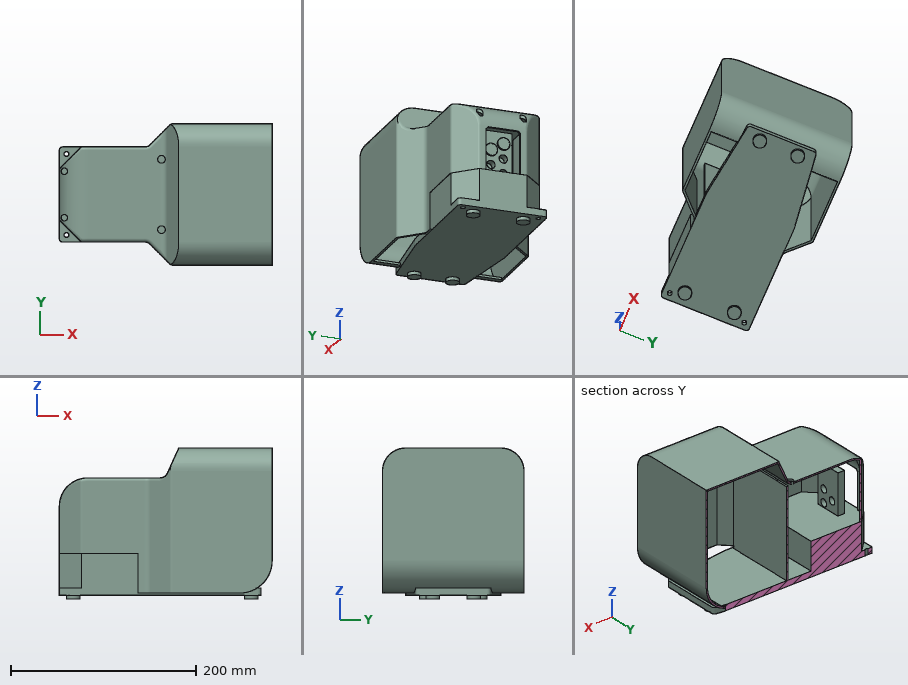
import cadquery as cq
import math


LENGTH = 230.0
REAR_WIDTH = 153.0
FRONT_WIDTH = 103.0
TOP_Z = 159.2
ROOF_Z = 127.0
WALL = 2.5

PLATE_LENGTH = 218.0
PLATE_THICKNESS = 8.0
PLATE_CORNER_R = 4.0
TAPER_START_X = 128.8
PLATE_TAIL_WIDTH = 80.0
BOX_LENGTH = 84.9
BOX_TOP_Z = 45.0
CORNER_CUT = 24.0
FIXING_HOLE_D = 5.0
FIXING_HOLE_INSET = 7.8
FOOT_D = 15.0
FOOT_HEIGHT = 4.0
FRONT_FOOT_X = 15.2
FRONT_FOOT_SPACING = 58.0
REAR_FOOT_X = 207.2
REAR_FOOT_SPACING = 44.5

BLOCK_X = 18.5
BLOCK_THICKNESS = 9.2
BLOCK_WIDTH = 34.5
BLOCK_TOP_Z = 98.5
PORT_Y = 7.1
TOP_PORT_Z = 84.9
PORT_PITCH_Z = 8.5
BOSS_D = 14.0
BOSS_HEIGHT = 2.0
SOCKET_D = 9.5
BOSS_COUNT = 2
SOCKET_COUNT = 3

BULKHEAD_X = 116.2
BULKHEAD_THICKNESS = 2.5

COVER_BOTTOM_Z = 2.5
FLARE_START_X = 96.0
NOSE_R = 31.0
STEP_TOP_X = 129.0
STEP_ANGLE = 65.5
STEP_R = 8.0
SHOULDER_R = 25.0
TAIL_R = 35.0
FLARE_START_R = 8.0
COVER_EDGE_R = 4.0
NOSE_HOLE_D = 7.0
NOSE_HOLE_X = 5.5
NOSE_HOLE_Y = 25.0
STEP_HOLE_D = 8.3
STEP_HOLE_X = 110.5
STEP_HOLE_Y = 38.0
WINDOW_WIDTH = 39.5
WINDOW_TOP_Z = 95.0
WINDOW_CORNER = 2.5

FRONT_HALF = FRONT_WIDTH / 2
REAR_HALF = REAR_WIDTH / 2
FLARE_END_X = FLARE_START_X + REAR_HALF - FRONT_HALF
STEP_FOOT_X = STEP_TOP_X - (TOP_Z - ROOF_Z) / math.tan(math.radians(STEP_ANGLE))


def box_between(x0, x1, y0, y1, z0, z1):
    return cq.Workplane("XY").box(x1 - x0, y1 - y0, z1 - z0, centered=False).translate((x0, y0, z0))


def cover_plan():
    """Half outlines of the cover seen from above, mirrored into a closed wire."""
    half = [
        (0, FRONT_HALF - CORNER_CUT),
        (CORNER_CUT, FRONT_HALF),
        (FLARE_START_X, FRONT_HALF),
        (FLARE_END_X, REAR_HALF),
        (LENGTH, REAR_HALF),
    ]
    return half + [(x, -y) for x, y in reversed(half)]


def plan_prism(inset):
    """Full-height block with the plan outline of the cover, moved inward by inset."""
    plan = cq.Workplane("XY", origin=(0, 0, COVER_BOTTOM_Z)).polyline(cover_plan()).close()
    if inset:
        plan = plan.offset2D(-inset, "intersection")
    return plan.extrude(TOP_Z - COVER_BOTTOM_Z)


def cover_form(inset):
    """Cover shape without its edge rounding, with every wall moved inward by inset."""
    nose_z = ROOF_Z - NOSE_R
    nose_r = NOSE_R - inset
    roof_z = ROOF_Z - inset
    top_z = TOP_Z - inset
    angle = math.radians(STEP_ANGLE)
    step_foot_x = STEP_FOOT_X + inset * math.tan(angle / 2)
    step_top_x = step_foot_x + (top_z - roof_z) / math.tan(angle)
    rear_x = LENGTH - inset
    tail_x = LENGTH - TAIL_R
    tail_z = COVER_BOTTOM_Z + TAIL_R
    tail_r = TAIL_R - inset
    diagonal = math.sqrt(0.5)

    side = (
        cq.Workplane("XZ", origin=(0, LENGTH / 2, 0))
        .moveTo(inset, 0)
        .lineTo(inset, nose_z)
        .threePointArc(
            (NOSE_R - nose_r * diagonal, nose_z + nose_r * diagonal),
            (NOSE_R, roof_z),
        )
        .lineTo(step_foot_x, roof_z)
        .lineTo(step_top_x, top_z)
        .lineTo(rear_x, top_z)
        .lineTo(rear_x, tail_z)
        .threePointArc(
            (tail_x + tail_r * diagonal, tail_z - tail_r * diagonal),
            (tail_x, tail_z - tail_r),
        )
        .lineTo(tail_x, 0)
        .close()
        .extrude(LENGTH)
    )
    step_edge = cq.selectors.NearestToPointSelector((step_foot_x, 0, roof_z))
    side = side.edges(step_edge).fillet(STEP_R + inset)

    form = plan_prism(inset).intersect(side)
    for sign in (-1, 1):
        shoulder = (LENGTH * 3 / 4, sign * (REAR_HALF - inset), top_z)
        form = form.edges(cq.selectors.NearestToPointSelector(shoulder)).fillet(SHOULDER_R - inset)
    return form


def round_pairs(form, points, radius):
    """Round the edges nearest to each point and to its mirror image across Y = 0."""
    edges = []
    for x, y, z in points:
        for sign in (-1, 1):
            edges += form.edges(cq.selectors.NearestToPointSelector((x, sign * y, z))).vals()
    return form.newObject(edges).fillet(radius)


def rounded_cover():
    mid_z = ROOF_Z / 2
    flare_start = (FLARE_START_X, FRONT_HALF, mid_z)
    flare_end = (FLARE_END_X, REAR_HALF, mid_z)
    corner_back = (CORNER_CUT, FRONT_HALF, mid_z)
    corner_front = (0, FRONT_HALF - CORNER_CUT, mid_z)
    roof_side = ((CORNER_CUT + FLARE_START_X) / 2, FRONT_HALF, ROOF_Z)

    flared = round_pairs(cover_form(0), [flare_start], FLARE_START_R)
    front_rounded = round_pairs(flared, [corner_back, corner_front, roof_side], COVER_EDGE_R)
    flare_rounded = round_pairs(flared, [flare_end], COVER_EDGE_R)
    return front_rounded.intersect(flare_rounded)


def round_hole(diameter, x, y, bottom_z, top_z):
    return cq.Workplane("XY", origin=(x, y, bottom_z)).circle(diameter / 2).extrude(top_z - bottom_z)


def plate():
    tail = PLATE_TAIL_WIDTH / 2
    outline = [
        (0, -FRONT_HALF),
        (TAPER_START_X, -FRONT_HALF),
        (PLATE_LENGTH, -tail),
        (PLATE_LENGTH, tail),
        (TAPER_START_X, FRONT_HALF),
        (0, FRONT_HALF),
    ]
    slab = cq.Workplane("XY").polyline(outline).close().extrude(PLATE_THICKNESS)
    slab = slab.edges("|Z and (<X or >X)").fillet(PLATE_CORNER_R)
    for sign in (-1, 1):
        y = sign * (FRONT_HALF - FIXING_HOLE_INSET)
        slab = slab.cut(round_hole(FIXING_HOLE_D, FIXING_HOLE_INSET, y, 0, PLATE_THICKNESS))
    return slab


def front_box():
    outline = [
        (0, CORNER_CUT - FRONT_HALF),
        (CORNER_CUT, -FRONT_HALF),
        (BOX_LENGTH, -FRONT_HALF),
        (BOX_LENGTH, FRONT_HALF),
        (CORNER_CUT, FRONT_HALF),
        (0, FRONT_HALF - CORNER_CUT),
    ]
    return cq.Workplane("XY").polyline(outline).close().extrude(BOX_TOP_Z)


def port(diameter, index, x0, x1):
    """Cylinder along X at the given port, counted from the top."""
    y = PORT_Y if index % 2 else -PORT_Y
    z = TOP_PORT_Z - index * PORT_PITCH_Z
    return cq.Workplane("YZ", origin=(x0, y, z)).circle(diameter / 2).extrude(x1 - x0)


def connector_block():
    back_x = BLOCK_X + BLOCK_THICKNESS
    block = box_between(BLOCK_X, back_x, -BLOCK_WIDTH / 2, BLOCK_WIDTH / 2, BOX_TOP_Z, BLOCK_TOP_Z)
    for index in range(BOSS_COUNT):
        block = block.union(port(BOSS_D, index, BLOCK_X - BOSS_HEIGHT, BLOCK_X))
    for index in range(BOSS_COUNT, BOSS_COUNT + SOCKET_COUNT):
        block = block.cut(port(SOCKET_D, index, BLOCK_X, back_x))
    return block


def bulkhead():
    half_width = FRONT_HALF - WALL
    back_x = BULKHEAD_X + BULKHEAD_THICKNESS
    return box_between(BULKHEAD_X, back_x, -half_width, half_width, 0, ROOF_Z - WALL)


def feet():
    rows = [(FRONT_FOOT_X, FRONT_FOOT_SPACING), (REAR_FOOT_X, REAR_FOOT_SPACING)]
    points = [(x, sign * spacing / 2) for x, spacing in rows for sign in (-1, 1)]
    return cq.Workplane("XY").pushPoints(points).circle(FOOT_D / 2).extrude(-FOOT_HEIGHT)


def window():
    opening = box_between(0, 2 * WALL, -WINDOW_WIDTH / 2, WINDOW_WIDTH / 2, BOX_TOP_Z, WINDOW_TOP_Z)
    return opening.edges("|X and >Z").chamfer(WINDOW_CORNER)


def make_cover():
    """Hollow cover, open below, standing on the front box."""
    cover = rounded_cover().cut(cover_form(WALL))
    cover = cover.cut(box_between(0, BOX_LENGTH, -REAR_HALF, REAR_HALF, 0, BOX_TOP_Z))
    cover = cover.cut(window())
    for sign in (-1, 1):
        cover = cover.cut(round_hole(NOSE_HOLE_D, NOSE_HOLE_X, sign * NOSE_HOLE_Y, WINDOW_TOP_Z, ROOF_Z))
        cover = cover.cut(round_hole(STEP_HOLE_D, STEP_HOLE_X, sign * STEP_HOLE_Y, BOX_TOP_Z, TOP_Z))
    tail = box_between(LENGTH - TAIL_R, LENGTH, -REAR_HALF, REAR_HALF, 0, PLATE_THICKNESS)
    return cover.cut(plate().intersect(tail))


def make_base(cover):
    """Plate and the parts on it in one solid, relieved where the cover sides overlap the plate."""
    solid = plate().union(front_box()).union(connector_block()).union(bulkhead()).union(feet())
    return solid.cut(cover)


cover = make_cover()
base = make_base(cover)

result = cq.Compound.makeCompound([base.solids().val(), cover.solids().val()])